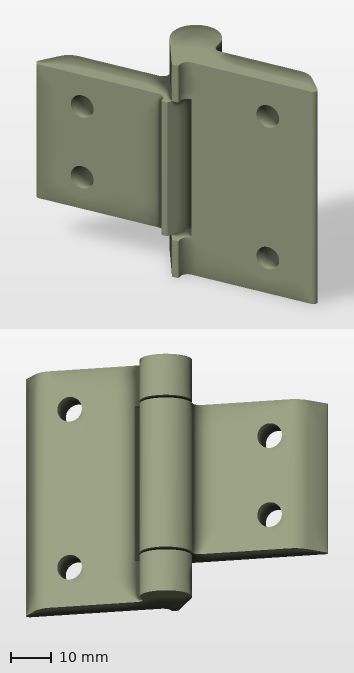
import cadquery as cq
import math

half_width = 38.5
height = 60.0
barrel_height = 10.4
barrel_gap = 0.7
inner_height = height - 2 * (barrel_height + barrel_gap)

knuckle_radius = 6.5
plate_top = -3.5
plate_bottom = -11.55
rib_bottom = -14.55
rib_outer_x = 2.4
rib_inner_x = 0.655
stop_top_y = -2.8
stop_top_x = -math.sqrt(knuckle_radius**2 - stop_top_y**2)
bevel_angle = 50.4

tip_radius = 1.1
shoulder_radius = 11.0 / 2
knuckle_fillet = 1.8
rib_fillet = 2.1
rib_corner_radius = 0.5

pin_diameter = 7.0
screw_diameter = 6.2
screw_x = 25.5
wide_screw_z = 20.0
narrow_screw_z = 10.0

clearance_x = 4.5


def leaf_blank(leaf_height):
    """Leaf with its plate towards +X, one knuckle over the full height, and the pin hole."""
    bevel = math.radians(bevel_angle)
    tip_x = half_width - tip_radius + tip_radius / math.tan(bevel / 2)
    shoulder_x = tip_x - (plate_top - plate_bottom) / math.tan(bevel)
    blank = (
        cq.Workplane("XY")
        .moveTo(stop_top_x, stop_top_y)
        .threePointArc((0, knuckle_radius), (knuckle_radius, 0))
        .lineTo(knuckle_radius, plate_top)
        .lineTo(shoulder_x, plate_top)
        .lineTo(tip_x, plate_bottom)
        .lineTo(rib_outer_x, plate_bottom)
        .lineTo(rib_outer_x, rib_bottom)
        .lineTo(rib_inner_x, rib_bottom)
        .close()
        .extrude(leaf_height / 2, both=True)
    )
    rounded_corners = [
        (knuckle_radius, plate_top, knuckle_fillet),
        (shoulder_x, plate_top, shoulder_radius),
        (tip_x, plate_bottom, tip_radius),
        (rib_outer_x, plate_bottom, rib_fillet),
        (rib_outer_x, rib_bottom, rib_corner_radius),
        (rib_inner_x, rib_bottom, rib_corner_radius),
    ]
    for x, y, radius in rounded_corners:
        corner = cq.selectors.NearestToPointSelector((x, y, 0))
        blank = blank.edges("|Z").edges(corner).fillet(radius)
    pin_hole = cq.Workplane("XY").circle(pin_diameter / 2).extrude(leaf_height / 2, both=True)
    return blank.cut(pin_hole)


def drill_screw_holes(leaf, screw_z):
    """Two through holes across the plate thickness."""
    holes = (
        cq.Workplane("XZ")
        .pushPoints([(screw_x, -screw_z), (screw_x, screw_z)])
        .circle(screw_diameter / 2)
        .extrude(-2 * plate_bottom, both=True)
    )
    return leaf.cut(holes)


def knuckle_clearance():
    """Space between the two outer barrels, bounded by a face parallel to the inner stop face."""
    run_per_drop = (rib_inner_x - stop_top_x) / (stop_top_y - rib_bottom)
    low_y = rib_bottom - barrel_gap
    high_y = knuckle_radius + barrel_gap
    low_x = clearance_x + (low_y - plate_bottom) * run_per_drop
    high_x = clearance_x + (high_y - plate_bottom) * run_per_drop
    far_x = -half_width
    return (
        cq.Workplane("XY")
        .polyline([(far_x, low_y), (low_x, low_y), (high_x, high_y), (far_x, high_y)])
        .close()
        .extrude(height / 2 - barrel_height, both=True)
    )


def make_wide_leaf():
    """Full-height leaf on the +X side, with a barrel at each end."""
    leaf = leaf_blank(height).cut(knuckle_clearance())
    return drill_screw_holes(leaf, wide_screw_z)


def make_narrow_leaf():
    """Leaf on the -X side whose single knuckle fits between the outer barrels."""
    leaf = drill_screw_holes(leaf_blank(inner_height), narrow_screw_z)
    return leaf.mirror("YZ")


def make_pin():
    """Hinge pin, flush with both ends of the wide leaf."""
    return cq.Workplane("XY").circle(pin_diameter / 2).extrude(height / 2, both=True)


wide_leaf = make_wide_leaf()
narrow_leaf = make_narrow_leaf()
pin = make_pin()

result = cq.Compound.makeCompound(
    [
        *wide_leaf.solids().vals(),
        *narrow_leaf.solids().vals(),
        *pin.solids().vals(),
    ]
)